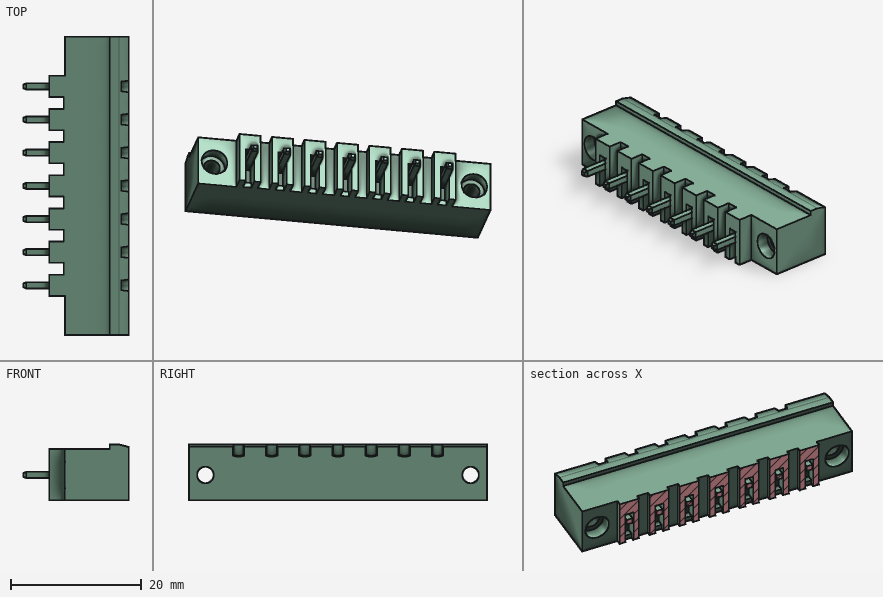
import cadquery as cq
import math

pitch = 5.08
pin_count = 7
total_length = 16.2
total_height = 8.6

body_height = 7.9
tower_face_x = 4.0
gap_face_x = 6.2
flange_face_x = 6.4
tower_width = 3.3

ridge_start_x = 13.25
slope_start_x = 14.65
ridge_front_z = 8.2

axis_height = 3.9
pin_size = 1.0
pin_tip_size = 0.55
pin_tip_length = 0.5

slot_width = 1.3
slot_top_z = 5.4
slot_ledge_z = 0.8
slot_ledge_x = gap_face_x
slot_back_x = slot_ledge_x + 1.0

screw_hole_diameter = 2.5
counterbore_diameter = 4.0
counterbore_depth = 2.0

notch_front_width = 1.8
notch_back_width = 1.5
notch_depth = 1.15
notch_floor_z = 6.7
notch_floor_rise = 0.2

row_length = (pin_count - 1) * pitch
body_length = row_length + 3 * pitch
screw_y = row_length / 2 + pitch
pin_ys = [index * pitch - row_length / 2 for index in range(pin_count)]


def block(x_range, y_center, width, z_range):
    """Box spanning x_range and z_range, centred on y_center."""
    x_size = x_range[1] - x_range[0]
    z_size = z_range[1] - z_range[0]
    box = cq.Workplane("XY").box(x_size, width, z_size, centered=(False, True, False))
    return box.translate((x_range[0], y_center, z_range[0]))


def housing():
    """Long block with the sloped latch ridge on top and stepped flange faces."""
    profile = [
        (gap_face_x, 0),
        (total_length, 0),
        (total_length, ridge_front_z),
        (slope_start_x, total_height),
        (ridge_start_x, total_height),
        (ridge_start_x, body_height),
        (gap_face_x, body_height),
    ]
    body = cq.Workplane("XZ").polyline(profile).close().extrude(body_length / 2, both=True)
    tower_row_end = row_length / 2 + tower_width / 2
    flange_width = body_length / 2 - tower_row_end
    for side in (-1, 1):
        flange_center = side * (tower_row_end + flange_width / 2)
        body = body.cut(block((gap_face_x, flange_face_x), flange_center, flange_width, (0, body_height)))
    return body


def tower(y):
    return block((tower_face_x, gap_face_x), y, tower_width, (0, body_height))


def pin_slot(y):
    """Slot around a pin, open at the bottom, deeper above the ledge."""
    upper = block((tower_face_x, slot_back_x), y, slot_width, (slot_ledge_z, slot_top_z))
    lower = block((tower_face_x, slot_ledge_x), y, slot_width, (0, slot_ledge_z))
    return upper.union(lower)


def pin(y):
    """Square pin with a pyramid-tapered tip pointing toward -X."""
    shank = block((pin_tip_length, slot_back_x), y, pin_size, (-pin_size / 2, pin_size / 2))
    shank = shank.translate((0, 0, axis_height))
    tip = (
        cq.Workplane("YZ", origin=(0, y, axis_height))
        .rect(pin_tip_size, pin_tip_size)
        .workplane(offset=pin_tip_length)
        .rect(pin_size, pin_size)
        .loft()
    )
    return shank.union(tip)


def screw_hole(y):
    """Through hole with a counterbore on the flange face."""
    rear = cq.Workplane("YZ", origin=(flange_face_x, y, axis_height))
    through = rear.circle(screw_hole_diameter / 2).extrude(total_length - flange_face_x)
    counterbore = rear.circle(counterbore_diameter / 2).extrude(counterbore_depth)
    return through.union(counterbore)


def notch(y):
    """Notch with a gently concave floor that narrows away from the mating face."""
    flare = (notch_front_width - notch_back_width) / 2
    flare_angle = math.degrees(math.atan2(flare, notch_depth))
    half_width = notch_front_width / 2
    floor_edge_z = notch_floor_z + notch_floor_rise
    open_z = total_height + notch_depth
    cutter = (
        cq.Workplane("YZ", origin=(total_length, y, 0))
        .moveTo(-half_width, open_z)
        .lineTo(-half_width, floor_edge_z)
        .threePointArc((0, notch_floor_z), (half_width, floor_edge_z))
        .lineTo(half_width, open_z)
        .close()
    )
    return cutter.extrude(-notch_depth, taper=flare_angle)


result = housing()
for pin_y in pin_ys:
    result = result.union(tower(pin_y)).cut(pin_slot(pin_y)).cut(notch(pin_y)).union(pin(pin_y))
for side in (-1, 1):
    result = result.cut(screw_hole(side * screw_y))